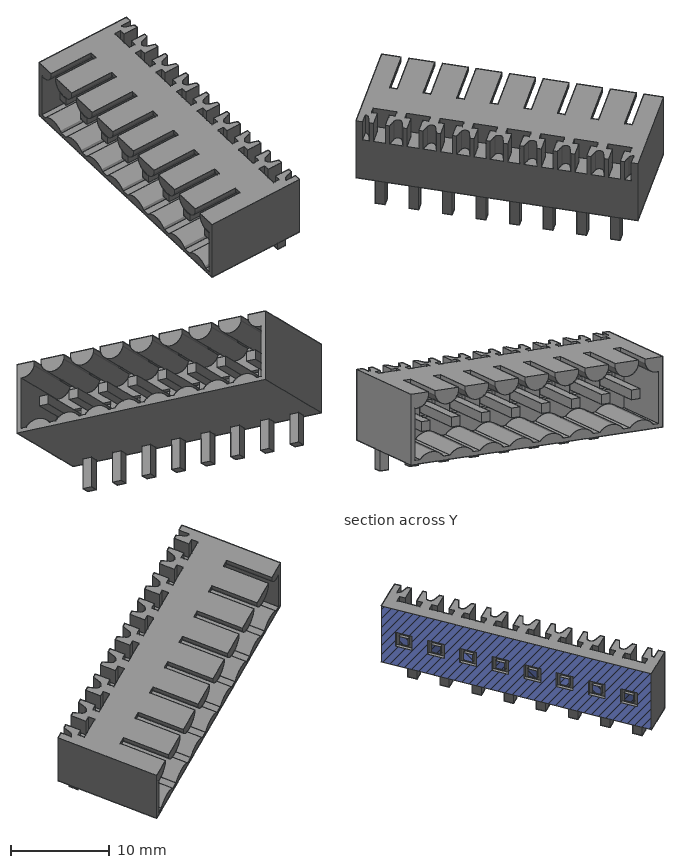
import cadquery as cq
import math


pin_count = 8
pitch = 3.5
pin_x = [(i - (pin_count - 1) / 2) * pitch for i in range(pin_count)]
between_x = [(i - pin_count / 2) * pitch for i in range(pin_count + 1)]

length = 29.4
depth = 11.05
height = 7.45
front_y = -depth / 2
rear_y = depth / 2

side_wall = 0.5
cavity_width = length - 2 * side_wall
cavity_depth = 7.05
cavity_back_y = front_y + cavity_depth
floor_z = 0.45
roof_thickness = 0.5
roof_z = height - roof_thickness

slot_width = 0.8
slot_length = 5.05

roof_rib_drop = 1.55
roof_rib_sag = roof_rib_drop - roof_thickness
roof_rib_half_width = (pitch - slot_width) / 2
roof_rib_radius = (roof_rib_half_width**2 + roof_rib_sag**2) / (2 * roof_rib_sag)
roof_rib_axis_z = height - roof_rib_drop + roof_rib_radius

floor_rib_radius = 1.8
floor_rib_rise = 0.65
floor_rib_axis_z = floor_z + floor_rib_rise - floor_rib_radius

pocket_size = 1.75
pocket_depth = 0.6

rear_cut_depth = 2.35
rear_cut_z = height - rear_cut_depth

t_neck_width = 1.23
t_neck_length = 1.68
t_bar_width = 2.47
t_bar_length = 0.7

notch_depth = 1.15
notch_radius = 0.45
notch_taper = 1 / 3
notch_half_angle = math.atan(notch_taper)

pin_size = 1.03
pin_z = 3.5
pin_setback = 1.23
leg_thickness = 1.0
leg_rear_gap = 0.32
leg_drop = 3.2


def block(x0, x1, y0, y1, z0, z1):
    """Box between the given limits."""
    return cq.Workplane("XY").box(x1 - x0, y1 - y0, z1 - z0, centered=False).translate((x0, y0, z0))


def centered_block(x, width, y0, y1, z0, z1):
    """Box centred on x with the given width."""
    return block(x - width / 2, x + width / 2, y0, y1, z0, z1)


def rod(x, z, radius):
    """Round bar along Y, running from the front face to the back of the cavity."""
    bar = cq.Workplane("XZ", origin=(x, cavity_back_y, z)).circle(radius)
    return bar.extrude(cavity_depth)


def cavity():
    """Air inside the housing, less the rounded ribs on its roof and floor."""
    space = centered_block(0, cavity_width, front_y, cavity_back_y, floor_z, roof_z)
    for x in between_x:
        space = space.cut(rod(x, roof_rib_axis_z, roof_rib_radius))
    for x in pin_x:
        space = space.cut(rod(x, floor_rib_axis_z, floor_rib_radius))
    return space


def roof_slot(x):
    """Slot from the front edge through the roof."""
    return centered_block(x, slot_width, front_y, front_y + slot_length, roof_z, height)


def pin_pocket(x):
    """Square pocket around a pin in the back wall of the cavity."""
    half = pocket_size / 2
    return centered_block(
        x, pocket_size, cavity_back_y, cavity_back_y + pocket_depth, pin_z - half, pin_z + half
    )


def t_recess(x):
    """T-shaped recess whose neck opens through the rear face."""
    neck_end_y = rear_y - t_neck_length
    neck = centered_block(x, t_neck_width, neck_end_y, rear_y, rear_cut_z, height)
    bar = centered_block(x, t_bar_width, neck_end_y - t_bar_length, neck_end_y, rear_cut_z, height)
    return neck.union(bar)


def rear_notch(x):
    """Notch with tapered sides tangent to a round inner end."""
    arc_center_y = rear_y - notch_depth + notch_radius
    tangent_x = notch_radius * math.cos(notch_half_angle)
    tangent_y = arc_center_y - notch_radius * math.sin(notch_half_angle)
    mouth_x = tangent_x + (rear_y - tangent_y) * notch_taper
    return (
        cq.Workplane("XY", origin=(0, 0, rear_cut_z))
        .moveTo(x - mouth_x, rear_y)
        .lineTo(x - tangent_x, tangent_y)
        .threePointArc((x, rear_y - notch_depth), (x + tangent_x, tangent_y))
        .lineTo(x + mouth_x, rear_y)
        .close()
        .extrude(rear_cut_depth)
    )


def rear_notches():
    """Row of notches; the end two are cut off flat at their middle."""
    row = block(between_x[0], between_x[-1], rear_y - notch_depth, rear_y, rear_cut_z, height)
    cutters = cq.Workplane("XY").newObject([rear_notch(x).val() for x in between_x]).combine()
    return row.intersect(cutters)


def make_pin(x):
    """L-shaped square pin: a contact pointing forward and a leg going down."""
    leg_rear_y = rear_y - leg_rear_gap
    top_z = pin_z + pin_size / 2
    contact = centered_block(
        x, pin_size, front_y + pin_setback, leg_rear_y, pin_z - pin_size / 2, top_z
    )
    leg = centered_block(x, pin_size, leg_rear_y - leg_thickness, leg_rear_y, -leg_drop, top_z)
    return contact.union(leg)


def make_housing(pins):
    """Housing with its cavity, slots, recesses and a fitting hole for every pin."""
    body = block(-length / 2, length / 2, front_y, rear_y, 0, height)
    body = body.cut(cavity()).cut(rear_notches())
    for x, pin in zip(pin_x, pins):
        body = body.cut(roof_slot(x)).cut(pin_pocket(x)).cut(t_recess(x)).cut(pin)
    return body


pins = [make_pin(x) for x in pin_x]
housing = make_housing(pins)

result = cq.Compound.makeCompound([housing.val(), *[pin.val() for pin in pins]])